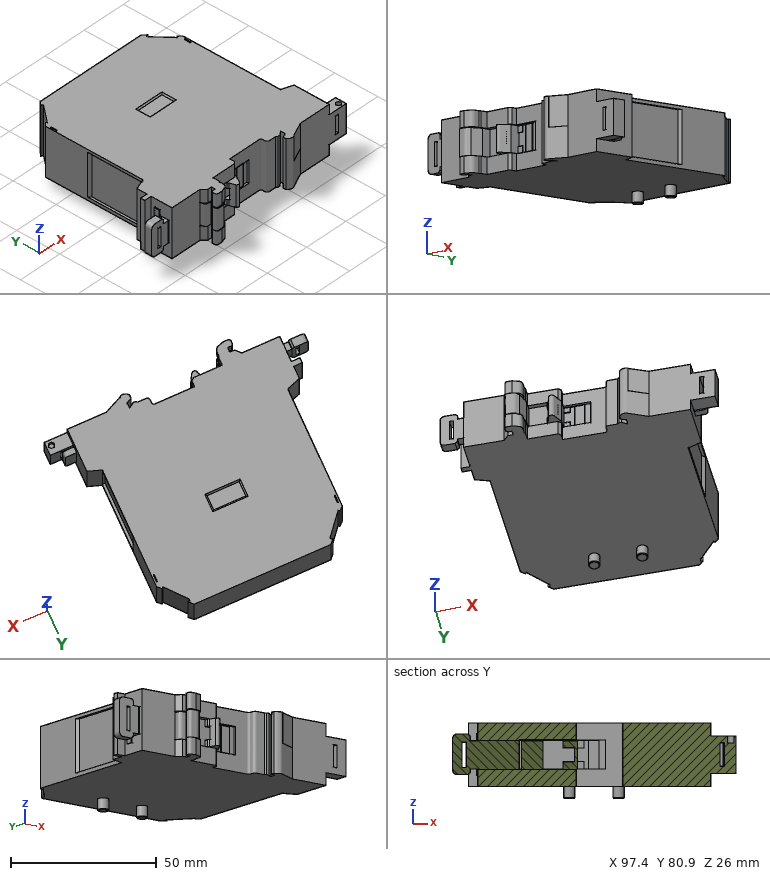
import cadquery as cq


thickness = 21.9
height = 74.5
base_half = 40.1
upper_half = 35.0
slope_low, slope_high = 16.4, 18.1
corner_y = 63.55
top_half = 25.7
upper_lip = 1.7
lip_step = 0.5
upper_notch, upper_undercut = 0.8, 0.1
lower_lip_run, lower_lip_rise = 1.5, 1.4

foot_start = -25.7
hook_tip, throat_high, throat_low = -24.2, -1.95, -3.7
lip_start = -23.6
rail_left, rail_right = -17.8, 14.0
seat_y = 1.2
notch_left, notch_right, notch_y = -6.0, 9.7, 4.2
notch_radius = 0.9
claw_x, claw_y, claw_end = 18.7, -3.1, 25.3
claw_relief, claw_relief_low = 0.15, 11.0

side_pocket_top = 44.0
side_pocket_slant = 1.1
side_pocket_depth = 1.1
side_pocket_low, side_pocket_high = 1.5, 20.7
label_x, label_y = -0.2, 43.9
label_length, label_width, label_depth = 13.3, 6.7, 0.6
slit_x, slit_y = 34.1, 60.5
slit_length, slit_width, slit_depth = 2.7, 0.3, 0.5
pin_y = 62.4
pin_x = (-8.6, 8.4)
pin_radius, pin_length, pin_chamfer = 1.95, 4.1, 0.3

rib_x, rib_low, rib_high = -43.3, 9.7, 11.7
lug_end, lug_height = 48.7, 5.1
lug_low, lug_high = 4.5, 17.4
lug_hole_x, lug_hole_y, lug_hole_radius = 46.9, 1.95, 1.1
lug_hole_depth = 2.4
lug_slot_left, lug_slot_right = 43.3, 44.7
lug_slot_low, lug_slot_high = 7.0, 15.0
stop_end, stop_low, stop_high, stop_radius = 44.35, 5.7, 7.9, 1.1

latch_low, latch_high = 6.0, 15.8
window_right, window_high = 3.8, 16.1
window_floor = 5.1
latch_back = 8.0
bar_low, bar_face = 1.5, 2.3
head_x, head_low, head_high, head_front = -40.45, 3.8, 18.2, 5.7
tab_end, tab_inner = -48.7, -42.6
tab_face, tab_back, neck_back = 1.6, 4.8, 4.5
tab_low, tab_high = 4.1, 18.1
tab_radius, tab_chamfer = 1.8, 0.8
tab_slot_left, tab_slot_right = -45.4, -44.1
tab_slot_low, tab_slot_high = 6.6, 15.2
gap_low, gap_high = 8.6, 13.4
gap_front, gap_end = 0.4, -6.8
tooth_left = -10.8
arm_start, arm_end, arm_face = -5.75, -3.5, 4.7
block_start, block_end = -1.95, 1.6
wall_inside = 2.9


def box(x0, x1, y0, y1, z0, z1):
    """Block between two opposite corners."""
    return cq.Workplane("XY").box(x1 - x0, y1 - y0, z1 - z0, centered=False).translate((x0, y0, z0))


def upper_side(side):
    """Outline points from the base corner up to the top edge, on side -1 or +1."""
    lip_x = upper_half - lower_lip_run
    lip_y = corner_y + lower_lip_rise
    top_lip_x = top_half + upper_lip
    top_lip_y = height - upper_lip
    points = [
        (base_half, slope_low),
        (upper_half, slope_high),
        (upper_half, corner_y),
        (lip_x, lip_y),
        (lip_x - lip_step, lip_y - lip_step),
        (top_lip_x - upper_notch, top_lip_y - upper_notch),
        (top_lip_x - upper_notch, top_lip_y - upper_undercut),
        (top_lip_x, top_lip_y),
        (top_half, height),
    ]
    return [(side * x, y) for x, y in points]


def make_shell():
    """Extruded outline with the fixed foot, the rail seat and the right-hand rail claw."""
    outline = (
        cq.Workplane("XY")
        .moveTo(-base_half, 0)
        .lineTo(foot_start, 0)
        .lineTo(-24.0, throat_high)
        .lineTo(-22.1, throat_high)
        .lineTo(-22.1, throat_low)
        .lineTo(lip_start, throat_low)
        .lineTo(hook_tip, -4.2)
        .lineTo(hook_tip, -5.3)
        .threePointArc((-23.9, -5.9), (-23.2, -6.2))
        .lineTo(-21.4, -6.2)
        .lineTo(-19.7, -5.7)
        .threePointArc((-18.5, -5.0), (-18.1, -3.7))
        .lineTo(-18.1, -2.1)
        .lineTo(rail_left, -1.6)
        .lineTo(rail_left, seat_y)
        .lineTo(notch_left - notch_radius, seat_y)
        .lineTo(notch_left, 2.0)
        .lineTo(notch_left, notch_y)
        .lineTo(notch_right - notch_radius, notch_y)
        .radiusArc((notch_right, notch_y - notch_radius), notch_radius)
        .lineTo(notch_right, 2.3)
        .threePointArc((10.0, 1.6), (10.8, seat_y))
        .lineTo(rail_right, seat_y)
        .lineTo(14.6, 0.7)
        .lineTo(15.6, 0.7)
        .lineTo(16.2, seat_y)
        .lineTo(17.4, 1.95)
        .lineTo(17.4, -0.1)
        .lineTo(15.5, -1.0)
        .lineTo(15.5, -2.2)
        .threePointArc((16.2, -2.9), (17.2, -3.3))
        .threePointArc((17.9, -3.4), (claw_x, claw_y))
        .lineTo(claw_end, 0)
        .lineTo(base_half, 0)
    )
    for point in upper_side(1) + upper_side(-1)[::-1]:
        outline = outline.lineTo(*point)
    return outline.close().extrude(thickness)


def make_claw_relief():
    """Thin wedge that sets the upper half of the claw slope back from the lower half."""
    points = [(claw_x, claw_y), (claw_end, 0), (claw_x, claw_y + claw_relief)]
    wedge = cq.Workplane("XY").polyline(points).close().extrude(thickness - claw_relief_low)
    return wedge.translate((0, 0, claw_relief_low))


def make_side_pocket(side):
    """Shallow pocket in a side wall, slanted at its top and open to the shoulder slope."""
    outer = side * base_half
    floor = side * (upper_half - side_pocket_depth)
    points = [
        (outer, slope_high),
        (floor, slope_high),
        (floor, side_pocket_top - side_pocket_slant),
        (side * upper_half, side_pocket_top),
        (outer, side_pocket_top),
    ]
    pocket = cq.Workplane("XY").polyline(points).close().extrude(side_pocket_high - side_pocket_low)
    return pocket.translate((0, 0, side_pocket_low))


def make_label_recess():
    """Recess with slanted walls in the upper broad face."""
    return (
        cq.Workplane("XY", origin=(label_x, label_y, thickness))
        .rect(label_length, label_width)
        .workplane(offset=-label_depth)
        .rect(label_length - 2 * label_depth, label_width - 2 * label_depth)
        .loft()
    )


def make_lug():
    """Lug on the right with a blind upright hole and a slot across it."""
    lug = box(base_half, lug_end, 0, lug_height, lug_low, lug_high)
    hole = (
        cq.Workplane("XY", origin=(lug_hole_x, lug_hole_y, lug_high))
        .circle(lug_hole_radius)
        .extrude(-lug_hole_depth)
    )
    slot = box(lug_slot_left, lug_slot_right, 0, lug_height, lug_slot_low, lug_slot_high)
    return lug.cut(hole).cut(slot)


def make_stop():
    """Bar beside the lug, with rounded corners at its end."""
    stop = box(base_half, stop_end, stop_low, stop_high, lug_low, lug_high)
    return stop.edges("|Y and >X").fillet(stop_radius)


def make_pin(x):
    """Round locating pin under the lower broad face."""
    pin = cq.Workplane("XY", origin=(x, pin_y, -pin_length)).circle(pin_radius).extrude(pin_length)
    return pin.faces("<Z").chamfer(pin_chamfer)


def make_tab():
    """Pull tab with rounded outer corners, chamfered inner corners and a slot through it."""
    tab = box(tab_end, tab_inner, tab_face, tab_back, tab_low, tab_high)
    tab = tab.edges("|Y and <X").fillet(tab_radius)
    tab = tab.edges("|Y and >X").chamfer(tab_chamfer)
    slot = box(tab_slot_left, tab_slot_right, tab_face, tab_back, tab_slot_low, tab_slot_high)
    return tab.cut(slot)


def make_latch_hook():
    """Moving half of the rail hook, nested in the fixed foot."""
    hook = (
        cq.Workplane("XY", origin=(0, 0, latch_low))
        .moveTo(-25.05, bar_face)
        .lineTo(-25.05, -0.9)
        .threePointArc((-24.6, -1.7), (-23.8, throat_high))
        .lineTo(-22.3, throat_high)
        .lineTo(-22.3, throat_low)
        .lineTo(lip_start, throat_low)
        .lineTo(hook_tip, -4.2)
        .lineTo(hook_tip, -5.0)
        .lineTo(-24.1, -5.7)
        .threePointArc((-23.8, -6.2), (-23.2, -6.4))
        .lineTo(-21.7, -6.4)
        .threePointArc((-20.5, -6.2), (-19.7, -5.6))
        .lineTo(-19.1, -5.1)
        .lineTo(-17.5, -1.2)
        .lineTo(-17.5, bar_face)
        .close()
    )
    return hook.extrude(latch_high - latch_low)


def make_tooth():
    """Spring tooth that grips the rail, notched behind its left flank."""
    tooth = (
        cq.Workplane("XY", origin=(0, 0, latch_low))
        .moveTo(tooth_left, latch_back)
        .lineTo(tooth_left, 1.2)
        .lineTo(-10.3, 0.6)
        .lineTo(-9.6, -1.9)
        .threePointArc((-9.3, -2.1), (-8.9, -2.3))
        .threePointArc((-8.2, -2.2), (-7.6, -1.8))
        .lineTo(arm_start, 1.5)
        .lineTo(arm_start, latch_back)
        .close()
        .extrude(latch_high - latch_low)
    )
    return tooth.cut(box(tooth_left, gap_end, gap_front, bar_face, gap_low, gap_high))


def make_latch():
    """Sliding latch: tab, neck, head, bar, hook, tooth with its arms, and end block."""
    bar = box(head_x, arm_start, bar_face, latch_back, latch_low, latch_high)
    tail = box(arm_start, block_end, window_floor, latch_back, latch_low, latch_high)
    stub = box(head_x, foot_start, bar_low, latch_back, latch_low, latch_high)
    neck = box(tab_inner, head_x, tab_face, neck_back, latch_low, latch_high)
    head = box(head_x, head_x + wall_inside, head_front, latch_back, head_low, head_high)
    block = box(block_start, block_end, arm_face, latch_back, latch_low, latch_high)
    latch = bar.union(tail).union(stub).union(neck).union(head).union(block)
    for low, high in ((latch_low, gap_low), (gap_high, latch_high)):
        latch = latch.union(box(arm_start, arm_end, arm_face, latch_back, low, high))
    return latch.union(make_tab()).union(make_latch_hook()).union(make_tooth())


def make_housing(latch):
    """Housing with its outside features and the space that the latch fills."""
    housing = make_shell()
    housing = housing.union(box(rib_x, -base_half, rib_low, rib_high, 0, thickness))
    housing = housing.union(make_lug()).union(make_stop())
    for x in pin_x:
        housing = housing.union(make_pin(x))
    for side in (-1, 1):
        housing = housing.cut(make_side_pocket(side))
        slit = box(-slit_width / 2, slit_width / 2, 0, slit_length, 0, slit_depth)
        slit = slit.translate((side * slit_x, slit_y - slit_length / 2, thickness - slit_depth))
        housing = housing.cut(slit)
    housing = housing.cut(make_label_recess()).cut(make_claw_relief())
    window = box(foot_start, window_right, -height, window_floor, latch_low, window_high)
    return housing.cut(window).cut(latch)


latch = make_latch()
housing = make_housing(latch)

result = cq.Compound.makeCompound([housing.solids().val(), latch.solids().val()])